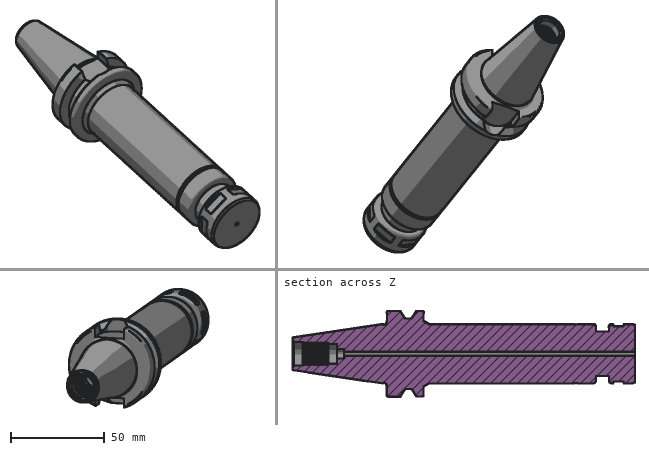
import cadquery as cq
import math

total_length = 183.4
taper_end_x = 48.2
flange_start_x = 50.5
flange_end_x = 70.5
shoulder_end_x = 73.2
body_end_x = 162.5
nut_start_x = 169.3

taper_small_dia = 17.8
taper_large_dia = 32.0
relief_dia = 31.0
flange_dia = 46.0
shoulder_dia = 35.0
body_dia = 32.0
neck_dia = 24.0
nut_dia = 32.0

marking_start_x = 151.0
marking_end_x = 152.5
marking_depth = 0.2

taper_tip_chamfer = 0.7
tip_face_dia = 17.0
relief_lead = 0.7
relief_arc_start_x = 49.3
relief_arc_radius = 2.4
relief_arc_dia = 34.8
flange_edge_fillet = 1.1
body_edge_fillet = 1.5
nut_rear_fillet = 1.7
nut_front_chamfer_length = 1.5
nut_front_chamfer_height = 0.5

groove_dia = 38.1
groove_start_x = 57.8
groove_floor_start_x = 60.3
groove_floor_end_x = 63.8
groove_end_x = 66.4

slot_width = 16.1
slot_floor_height = 16.3
slot_end_x = 67.1

flat_count = 6
flat_height = 14.9
flat_width = 2 * math.sqrt((nut_dia / 2) ** 2 - flat_height ** 2)
flat_start_x = 172.0
flat_end_x = 177.0
flat_wall_run = 0.5

mouth_dia = 14.5
pilot_dia = 12.5
thread_minor_dia = 10.5
thread_major_dia = 12.0
counterbore_dia = 5.0
coolant_dia = 2.0
mouth_depth = 1.0
pilot_depth = 5.5
thread_depth = 23.8
thread_pitch = 1.75
thread_turns = 8
counterbore_depth = 3.7


def cylinder(dia, start_x, end_x):
    """Solid cylinder on the X axis between two stations."""
    return cq.Workplane("YZ").workplane(offset=start_x).circle(dia / 2).extrude(end_x - start_x)


def revolve_profile(points):
    """Revolve a closed (x, radius) outline about the X axis."""
    return cq.Workplane("XY").polyline(points).close().revolve(360, (0, 0, 0), (1, 0, 0))


def make_taper():
    """Tapered shank with a chamfered tip and a relief at its large end."""
    relief_r = relief_dia / 2
    return (
        cq.Workplane("XY")
        .moveTo(0, 0)
        .lineTo(0, tip_face_dia / 2)
        .lineTo(taper_tip_chamfer, taper_small_dia / 2)
        .lineTo(taper_end_x, taper_large_dia / 2)
        .lineTo(taper_end_x + relief_lead, relief_r)
        .lineTo(relief_arc_start_x, relief_r)
        .radiusArc((flange_start_x, relief_arc_dia / 2), -relief_arc_radius)
        .lineTo(flange_start_x, 0)
        .close()
        .revolve(360, (0, 0, 0), (1, 0, 0))
    )


def make_flange():
    """Flange with rounded rims and a V-groove."""
    rim_r = flange_dia / 2
    flange = cylinder(flange_dia, flange_start_x, flange_end_x).edges().fillet(flange_edge_fillet)
    groove = revolve_profile([
        (groove_floor_start_x, groove_dia / 2),
        (groove_floor_end_x, groove_dia / 2),
        (groove_end_x, rim_r),
        (groove_end_x, flange_dia),
        (groove_start_x, flange_dia),
        (groove_start_x, rim_r),
    ])
    return flange.cut(groove)


def make_body():
    """Long cylinder with a conical shoulder behind the flange and a slimmer neck before the nut."""
    body = cylinder(body_dia, flange_end_x, body_end_x).faces(">X").edges().fillet(body_edge_fillet)
    shoulder = revolve_profile([
        (flange_end_x, 0),
        (flange_end_x, shoulder_dia / 2),
        (shoulder_end_x, body_dia / 2),
        (shoulder_end_x, 0),
    ])
    neck = cylinder(neck_dia, body_end_x, nut_start_x)
    marking_core = cylinder(body_dia - 2 * marking_depth, marking_start_x, marking_end_x)
    marking_ring = cylinder(body_dia, marking_start_x, marking_end_x).cut(marking_core)
    return body.cut(marking_ring).union(shoulder).union(neck)


def make_nut():
    """Clamping nut with a rounded rear, a chamfered front and evenly spaced wrench flats."""
    nut = cylinder(nut_dia, nut_start_x, total_length)
    nut = nut.faces("<X").edges().fillet(nut_rear_fillet)
    front_rim = nut.faces(">X").edges()
    nut = front_rim.chamfer(nut_front_chamfer_length, nut_front_chamfer_height)

    rim_r = nut_dia / 2
    pocket = (
        cq.Workplane("XY")
        .polyline([
            (flat_start_x, flat_height),
            (flat_end_x, flat_height),
            (flat_end_x + flat_wall_run, rim_r),
            (flat_start_x - flat_wall_run, rim_r),
        ])
        .close()
        .extrude(flat_width / 2, both=True)
    )
    for index in range(flat_count):
        nut = nut.cut(pocket.rotate((0, 0, 0), (1, 0, 0), index * 360 / flat_count))
    return nut


def make_drive_slot():
    """Upper drive slot: open toward the taper, with a round end."""
    slot_r = slot_width / 2
    arc_start_x = slot_end_x - slot_r
    return (
        cq.Workplane("XY")
        .workplane(offset=slot_floor_height)
        .moveTo(taper_end_x, -slot_r)
        .lineTo(arc_start_x, -slot_r)
        .threePointArc((slot_end_x, 0), (arc_start_x, slot_r))
        .lineTo(taper_end_x, slot_r)
        .close()
        .extrude(flange_dia / 2)
    )


def make_bore():
    """Stepped bore with a countersunk mouth and a through coolant hole."""
    return revolve_profile([
        (0, 0),
        (0, mouth_dia / 2),
        (mouth_depth, pilot_dia / 2),
        (pilot_depth, pilot_dia / 2),
        (pilot_depth, thread_minor_dia / 2),
        (thread_depth, thread_minor_dia / 2),
        (thread_depth, counterbore_dia / 2),
        (thread_depth + counterbore_depth, counterbore_dia / 2),
        (thread_depth + counterbore_depth, coolant_dia / 2),
        (total_length, coolant_dia / 2),
        (total_length, 0),
    ])


def make_thread_grooves():
    """Row of ring-shaped V-grooves standing in for the internal thread."""
    minor_r = thread_minor_dia / 2
    groove = revolve_profile([
        (pilot_depth, 0),
        (pilot_depth, minor_r),
        (pilot_depth + thread_pitch / 2, thread_major_dia / 2),
        (pilot_depth + thread_pitch, minor_r),
        (pilot_depth + thread_pitch, 0),
    ])
    grooves = groove
    for turn in range(1, thread_turns):
        grooves = grooves.union(groove.translate((turn * thread_pitch, 0, 0)))
    return grooves


upper_slot = make_drive_slot()
lower_slot = upper_slot.mirror("XY")

result = make_taper().union(make_flange()).union(make_body()).union(make_nut())
result = result.cut(upper_slot).cut(lower_slot)
result = result.cut(make_bore()).cut(make_thread_grooves())